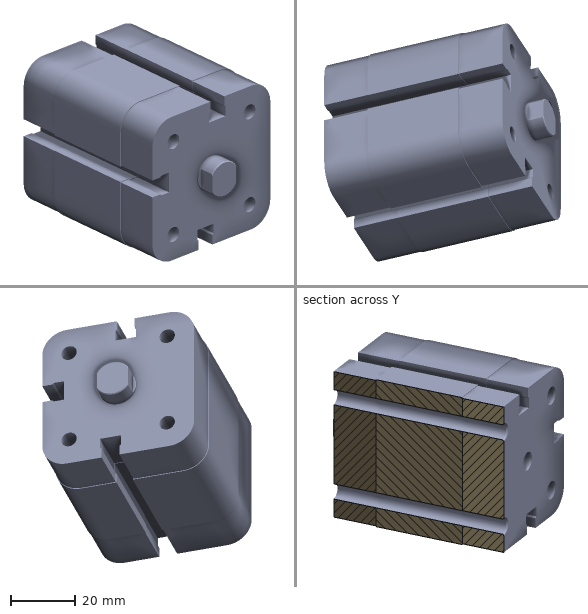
import cadquery as cq

overall_length = 65.5
cap_length = 14.6
barrel_length = 30.3
body_length = 2 * cap_length + barrel_length
rod_projection = overall_length - body_length

barrel_side = 50.0
barrel_corner_radius = 8.25
cap_inset = 0.25

slot_offset = 2.5
slot_mouth_width = 5.3
slot_inner_width = 6.3
slot_depth = 7.0
slot_neck_depth = 3.3
slot_turns = [0, 90, 180]

bolt_reach = 16.0
bolt_centres = [(y, z) for y in (-bolt_reach, bolt_reach) for z in (-bolt_reach, bolt_reach)]
bolt_hole_diameter = 5.0
countersink_diameter = 5.9
countersink_depth = (countersink_diameter - bolt_hole_diameter) / 2
centre_hole_diameter = 6.0
centre_hole_depth = 4.0

rod_diameter = 12.0
rod_chamfer = 0.295
flat_width = 10.0
flat_start = 0.8
runout_start = 0.45


def slot_cutter(length, inset):
    """T-slot open through the +Z side, with 45 degree shoulders, running along X."""
    mouth = slot_mouth_width / 2 + inset
    inner = slot_inner_width / 2 + inset
    top = barrel_side / 2 - inset
    floor = top - slot_depth
    neck_end = top - slot_neck_depth
    shoulder_end = neck_end - (inner - mouth)
    right_side = [(mouth, top), (mouth, neck_end), (inner, shoulder_end), (inner, floor)]
    left_side = [(-y, z) for y, z in reversed(right_side)]
    return cq.Workplane("YZ").polyline(right_side + left_side).close().extrude(length)


def slotted_block(length, inset):
    """Rounded square block from x = 0 with its T-slots and bolt holes."""
    side = barrel_side - 2 * inset
    block = cq.Workplane("YZ").rect(side, side).extrude(length)
    block = block.edges("|X").fillet(barrel_corner_radius - inset)
    slot = slot_cutter(length, inset).translate((0, slot_offset, 0))
    for turn in slot_turns:
        block = block.cut(slot.rotate((0, 0, 0), (1, 0, 0), turn))
    bolt_holes = cq.Workplane("YZ").pushPoints(bolt_centres).circle(bolt_hole_diameter / 2)
    return block.cut(bolt_holes.extrude(length))


def make_barrel():
    return slotted_block(barrel_length, 0).translate((cap_length, 0, 0))


def make_front_cap():
    return slotted_block(cap_length, cap_inset).translate((cap_length + barrel_length, 0, 0))


def make_rear_cap():
    """Cap with countersunk bolt holes and a blind centre hole in its rear face."""
    cap = slotted_block(cap_length, cap_inset)
    for y, z in bolt_centres:
        countersink = cq.Solid.makeCone(
            countersink_diameter / 2,
            bolt_hole_diameter / 2,
            countersink_depth,
            pnt=cq.Vector(0, y, z),
            dir=cq.Vector(1, 0, 0),
        )
        cap = cap.cut(cq.Workplane(countersink))
    return cap.cut(cq.Workplane("YZ").circle(centre_hole_diameter / 2).extrude(centre_hole_depth))


def flat_cutter():
    """Block that mills the +Y wrench flat and leaves a steep slope at its inner end."""
    flat_y = flat_width / 2
    surface_y = rod_diameter / 2
    outline = [
        (flat_start, flat_y),
        (runout_start, surface_y),
        (rod_projection, surface_y),
        (rod_projection, flat_y),
    ]
    return cq.Workplane("XY").polyline(outline).close().extrude(rod_diameter / 2, both=True)


def make_rod():
    """Chamfered piston rod with two wrench flats, standing on the front cap."""
    radius = rod_diameter / 2
    half_section = [
        (0, 0),
        (0, radius),
        (rod_projection - rod_chamfer, radius),
        (rod_projection, radius - rod_chamfer),
        (rod_projection, 0),
    ]
    rod = cq.Workplane("XY").polyline(half_section).close().revolve(360, (0, 0, 0), (1, 0, 0))
    cutter = flat_cutter()
    rod = rod.cut(cutter).cut(cutter.mirror("XZ"))
    return rod.translate((body_length, 0, 0))


rear_cap = make_rear_cap()
barrel = make_barrel()
front_cap = make_front_cap()
rod = make_rod()

result = cq.Compound.makeCompound([rear_cap.val(), barrel.val(), front_cap.val(), rod.val()])